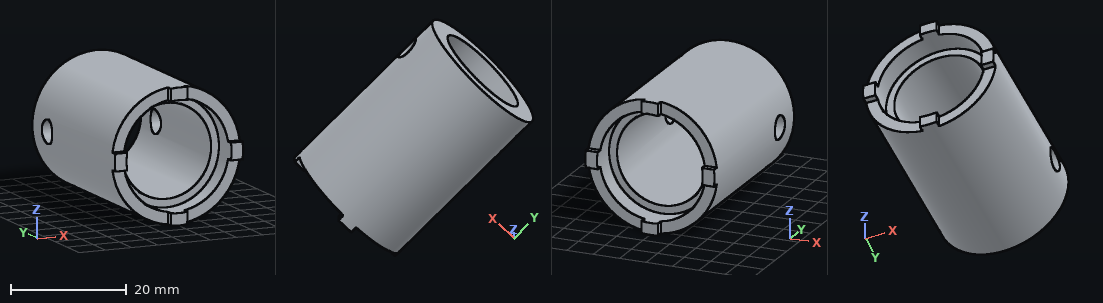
import cadquery as cq

total_length = 34.2
outer_diameter = 24.5
bore_diameter = 17.0
counterbore_diameter = 20.0
counterbore_depth = 4.0
tooth_height = 1.2
tooth_width = 3.15
tooth_count = 4
cross_hole_diameter = 4.3
cross_hole_from_back = 6.15

shoulder_y = tooth_height
back_y = total_length


def cylinder_along_y(diameter, start_y, end_y):
    """Solid cylinder on the sleeve axis between two Y positions."""
    return (
        cq.Workplane("XZ", origin=(0, start_y, 0))
        .circle(diameter / 2)
        .extrude(start_y - end_y)
    )


def tooth_blank(angle):
    """Radial bar from the axis outwards, as high as a tooth, turned about the sleeve axis."""
    return (
        cq.Workplane("XY")
        .box(outer_diameter, tooth_height, tooth_width, centered=(False, False, True))
        .rotate((0, 0, 0), (0, 1, 0), angle)
    )


body = cylinder_along_y(outer_diameter, shoulder_y, back_y)

tooth_envelope = cylinder_along_y(outer_diameter, 0, shoulder_y)
for index in range(tooth_count):
    angle = index * 360 / tooth_count
    body = body.union(tooth_blank(angle).intersect(tooth_envelope))

body = body.cut(cylinder_along_y(bore_diameter, 0, back_y))
body = body.cut(cylinder_along_y(counterbore_diameter, 0, shoulder_y + counterbore_depth))

cross_hole = (
    cq.Workplane("YZ", origin=(0, back_y - cross_hole_from_back, 0))
    .circle(cross_hole_diameter / 2)
    .extrude(outer_diameter, both=True)
)
result = body.cut(cross_hole)